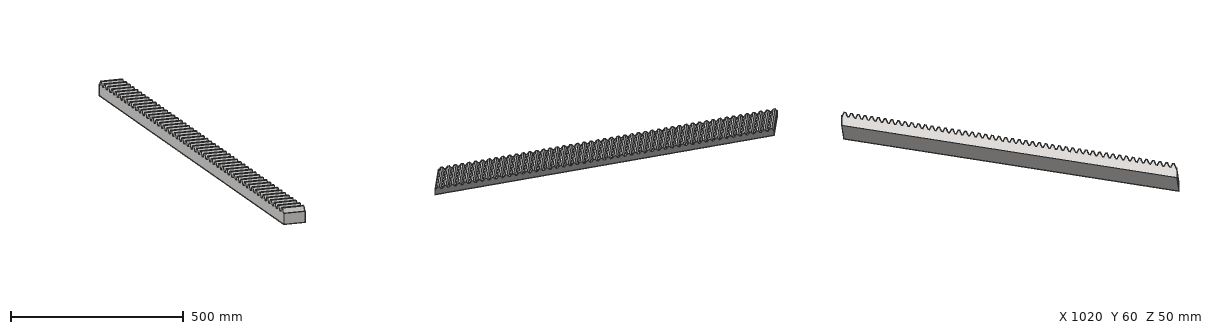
import cadquery as cq
import math

total_length = 1020.0
width = 60.0
height = 50.0
tooth_count = 50
helix_angle = 19.5
pressure_angle = 20.0
tooth_depth = 14.0
tip_width = 5.0

skew = width * math.tan(math.radians(helix_angle))
face_length = total_length - skew
pitch = face_length / tooth_count

root_height = height - tooth_depth
flank_slope = math.tan(math.radians(pressure_angle)) / math.cos(math.radians(helix_angle))
half_tip = tip_width / 2
half_base = half_tip + tooth_depth * flank_slope


def tooth_points(center_x):
    """Trapezoid outline of one tooth, from its left root corner to its right one."""
    return [
        (center_x - half_base, root_height),
        (center_x - half_tip, height),
        (center_x + half_tip, height),
        (center_x + half_base, root_height),
    ]


def rack_profile():
    """Outline of the rack in XZ; each end lies midway along a tooth gap."""
    points = [(0, 0), (0, root_height)]
    for index in range(tooth_count):
        points += tooth_points((index + 0.5) * pitch)
    points += [(face_length, root_height), (face_length, 0)]
    return points


def sheared_bar(points):
    """Sweep an XZ outline from the front face to the back face along the tooth direction."""
    direction = cq.Workplane("XY").moveTo(0, 0).lineTo(skew, width)
    return cq.Workplane("XZ").polyline(points).close().sweep(direction)


result = sheared_bar(rack_profile())